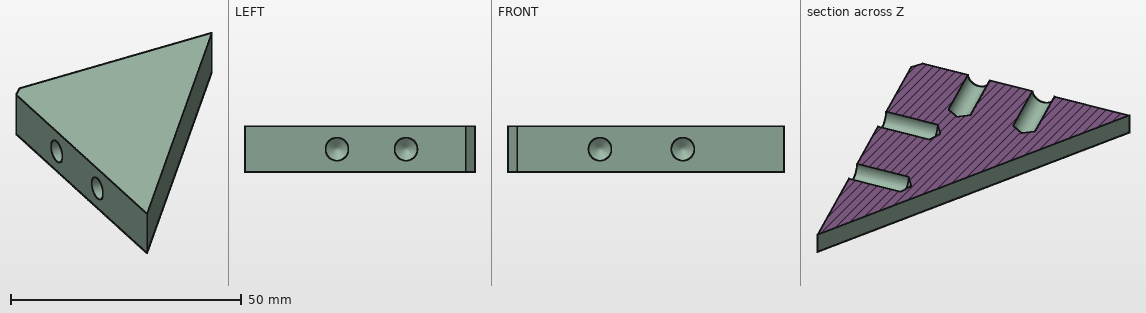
import cadquery as cq
import math

length_x = 60.0
length_y = 50.0
thickness = 10.0
corner_chamfer = 2.0

x_face_hole_positions = (15.0, 30.0)
y_face_hole_positions = (20.0, 38.0)
hole_diameter = 5.0
hole_depth = 12.0
drill_point_angle = 118.0

hole_radius = hole_diameter / 2
drill_point_depth = hole_radius / math.tan(math.radians(drill_point_angle / 2))
mid_height = thickness / 2


def triangular_plate():
    """Right-angled plate with the square corner cut off."""
    return (
        cq.Workplane("XY")
        .moveTo(corner_chamfer, 0)
        .lineTo(length_x, 0)
        .lineTo(0, length_y)
        .lineTo(0, corner_chamfer)
        .close()
        .extrude(thickness)
    )


def hole_cutter():
    """Blind hole with a conical end, running from the origin along +Y."""
    return (
        cq.Workplane("XY")
        .moveTo(0, 0)
        .lineTo(hole_radius, 0)
        .lineTo(hole_radius, hole_depth)
        .lineTo(0, hole_depth + drill_point_depth)
        .close()
        .revolve(360, (0, 0, 0), (0, 1, 0))
    )


result = triangular_plate()

for hole_x in y_face_hole_positions:
    result = result.cut(hole_cutter().translate((hole_x, 0, mid_height)))

for hole_y in x_face_hole_positions:
    cutter_along_x = hole_cutter().rotate((0, 0, 0), (0, 0, 1), -90)
    result = result.cut(cutter_along_x.translate((0, hole_y, mid_height)))